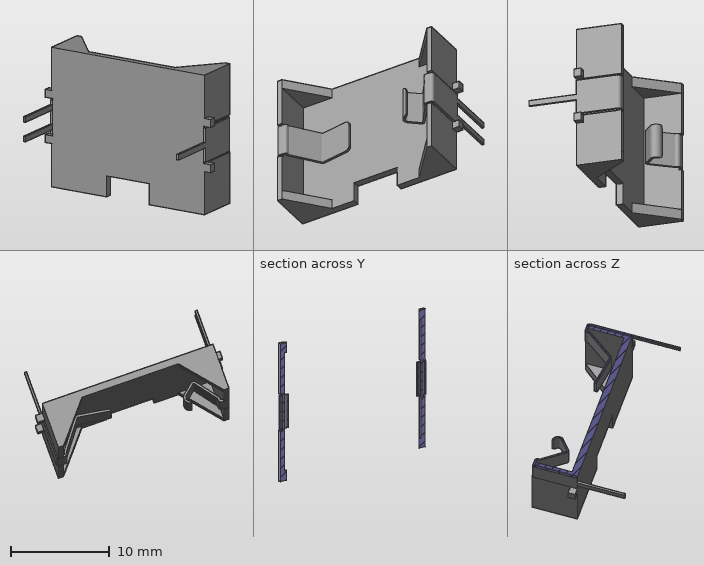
import cadquery as cq
import math

HOUSING_WIDTH = 18.3
HOUSING_HEIGHT = 14.74
WALL_TOP = 4.83
PLATE_THICKNESS = 0.75
WALL_THICKNESS = 0.55
GUSSET_THICKNESS = 1.07
GUSSET_FOOT_X = 5.17

SLOT_WIDTH = 5.11
SLOT_HEIGHT = 2.22

OVERALL_WIDTH = 19.81
LUG_DEPTH = 0.75
LUG_HEIGHT = 0.83
SEAT_HEIGHT = 3.95
SEAT_CHAMFER = 0.2

SHEET = 0.24
CONTACT_OUTER_X = 9.27
CONTACT_INNER_X = 8.1
CONTACT_TOP = 4.8
CONTACT_WIDTH = 3.57
BEND_RADIUS = 0.22
LEG_BEND_Y = 4.3
LEG_ANGLE = 53.0
PIN_LENGTH = 5.07
PIN_WIDTH = 0.57
PIN_PITCH = 2.06

HOOK_ANGLE = 40.0
HOOK_CENTER_X = 5.5
HOOK_TIP_X = 5.53
HOOK_CENTER_Y = 3.23
HOOK_RADIUS = 0.52
HOOK_TIP_ROUNDING = 0.38

STRAIGHT_ANGLE = 8.6
STRAIGHT_TIP = (-2.42, 1.8)
STRAIGHT_TIP_ROUNDING = 0.52

SEAT_FACE_X = CONTACT_OUTER_X - SHEET
SEAT_TOP = CONTACT_TOP - SHEET

WALL_OUTER_X = -HOUSING_WIDTH / 2
WALL_INNER_X = WALL_OUTER_X + WALL_THICKNESS
HALF_HEIGHT = HOUSING_HEIGHT / 2

POINT_TOLERANCE = 0.002


def box(x_range, y_range, z_range):
    """Box between the given limits along each axis."""
    corners = list(zip(x_range, y_range, z_range))
    size = [end - start for start, end in zip(*corners)]
    return cq.Workplane("XY").box(*size, centered=False).translate(corners[0])


def mirrored_in_x(body):
    """Copy of a left-hand shape on the right-hand side."""
    return body.mirror("YZ")


def left_gusset():
    """Sloped web that braces the left wall at the top edge of the housing."""
    return (
        cq.Workplane("XY", origin=(0, 0, HALF_HEIGHT - GUSSET_THICKNESS))
        .polyline([(WALL_OUTER_X, 0), (-GUSSET_FOOT_X, 0), (-GUSSET_FOOT_X, PLATE_THICKNESS),
                   (WALL_INNER_X, WALL_TOP), (WALL_OUTER_X, WALL_TOP)])
        .close()
        .extrude(GUSSET_THICKNESS)
    )


def left_wall():
    """Left wall with its two gussets and two lugs."""
    wall = box((WALL_OUTER_X, WALL_INNER_X), (0, WALL_TOP), (-HALF_HEIGHT, HALF_HEIGHT))
    lug = box((-OVERALL_WIDTH / 2, WALL_INNER_X), (0, LUG_DEPTH),
              (SEAT_HEIGHT / 2, SEAT_HEIGHT / 2 + LUG_HEIGHT))
    for feature in (left_gusset(), lug):
        wall = wall.union(feature).union(feature.mirror("XY"))
    return wall


def left_seat():
    """Material removed from the left wall: a shallow side recess and a lowered, chamfered top edge."""
    outside = -OVERALL_WIDTH / 2
    return (
        cq.Workplane("XY")
        .moveTo(outside, 0)
        .lineTo(-SEAT_FACE_X, 0)
        .lineTo(-SEAT_FACE_X, SEAT_TOP - SEAT_CHAMFER)
        .lineTo(-SEAT_FACE_X + SEAT_CHAMFER, SEAT_TOP)
        .lineTo(WALL_INNER_X, SEAT_TOP)
        .lineTo(WALL_INNER_X, WALL_TOP)
        .lineTo(outside, WALL_TOP)
        .close()
        .extrude(SEAT_HEIGHT / 2, both=True)
    )


def make_housing():
    """Plate with its bottom slot and both walls, each with a seat for a contact."""
    plate = box((WALL_OUTER_X, -WALL_OUTER_X), (0, PLATE_THICKNESS), (-HALF_HEIGHT, HALF_HEIGHT))
    slot = box((-SLOT_WIDTH / 2, SLOT_WIDTH / 2), (0, PLATE_THICKNESS),
               (-HALF_HEIGHT, -HALF_HEIGHT + SLOT_HEIGHT))
    wall = left_wall()
    seat = left_seat()
    housing = plate.union(wall).union(mirrored_in_x(wall))
    return housing.cut(slot).cut(seat).cut(mirrored_in_x(seat))


def bent_strip(corners, radii):
    """Sheet strip along the mid-line through the corners, with one mid-line radius per bend."""
    mid_line = cq.Wire.makePolygon([cq.Vector(x, y) for x, y in corners])
    for corner, radius in zip(corners[1:], radii):
        bend = [v for v in mid_line.Vertices() if math.dist(v.toTuple()[:2], corner) < POINT_TOLERANCE]
        mid_line = mid_line.fillet(radius, bend)
    start_x, start_y = corners[0]
    section = cq.Workplane("XZ", origin=(start_x, start_y, 0)).rect(SHEET, CONTACT_WIDTH)
    return section.sweep(cq.Workplane(mid_line))


def crossing(first, first_angle, second, second_angle):
    """Point where two lines meet, each given by a point and an angle in degrees."""
    a = math.radians(first_angle)
    b = math.radians(second_angle)
    dx = second[0] - first[0]
    dy = second[1] - first[1]
    distance = (dx * math.sin(b) - dy * math.cos(b)) / math.sin(b - a)
    return (first[0] + distance * math.cos(a), first[1] + distance * math.sin(a))


def tip_corner_cutter(tip, inward, rounding):
    """Material outside the two rounded corners of an arm tip.

    inward is the X sign from the tip back to the arm.
    """
    tip_x, tip_y = tip
    round_x = tip_x + inward * rounding
    round_z = CONTACT_WIDTH / 2 - rounding
    y_range = (tip_y - 2 * SHEET, tip_y + 2 * SHEET)
    x_range = sorted((round_x, tip_x - inward * SHEET))
    corner = box(x_range, y_range, (round_z, CONTACT_WIDTH / 2))
    kept = (
        cq.Workplane("XZ", origin=(round_x, y_range[1], round_z))
        .circle(rounding)
        .extrude(y_range[1] - y_range[0])
    )
    upper = corner.cut(kept)
    return upper.union(upper.mirror("XY"))


def left_contact(arm_point, arm_angle, arm_end, arm_radii, inward, tip_rounding, pin_heights):
    """Contact on the left wall: side plate with pins, bridge over the wall, slanted leg and spring arm.

    The arm rises towards +X through arm_point. arm_end lists its further mid-line corners and its tip,
    arm_radii the bend radii at those corners, and inward is the X sign from the tip back to the arm.
    """
    plate_x = -CONTACT_OUTER_X + SHEET / 2
    leg_x = -CONTACT_INNER_X - SHEET / 2
    bridge_y = CONTACT_TOP - SHEET / 2
    leg_bend = (leg_x, LEG_BEND_Y)
    arm_foot = crossing(leg_bend, -LEG_ANGLE, arm_point, arm_angle)
    wall_bends = [(plate_x, bridge_y), (leg_x, bridge_y), leg_bend, arm_foot]
    radii = [BEND_RADIUS] * len(wall_bends) + arm_radii
    strip = bent_strip([(plate_x, 0)] + wall_bends + arm_end, radii)
    contact = strip.cut(tip_corner_cutter(arm_end[-1], inward, tip_rounding))
    for z in pin_heights:
        contact = contact.union(box((-CONTACT_OUTER_X, -SEAT_FACE_X), (-PIN_LENGTH, 0),
                                    (z - PIN_WIDTH / 2, z + PIN_WIDTH / 2)))
    return contact


def make_hooked_contact():
    """Left contact: two pins and an arm that curls back at its tip."""
    angle = math.radians(HOOK_ANGLE)
    arm_point = (-HOOK_CENTER_X + HOOK_RADIUS * math.sin(angle),
                 HOOK_CENTER_Y - HOOK_RADIUS * math.cos(angle))
    tip = (-HOOK_TIP_X, HOOK_CENTER_Y + HOOK_RADIUS)
    hook_corner = crossing(arm_point, HOOK_ANGLE, tip, 0)
    return left_contact(arm_point, HOOK_ANGLE, [hook_corner, tip], [HOOK_RADIUS], 1, HOOK_TIP_ROUNDING,
                        [-PIN_PITCH / 2, PIN_PITCH / 2])


def make_straight_contact():
    """Right contact: one central pin and a straight arm."""
    contact = left_contact(STRAIGHT_TIP, STRAIGHT_ANGLE, [STRAIGHT_TIP], [], -1, STRAIGHT_TIP_ROUNDING, [0])
    return mirrored_in_x(contact)


housing = make_housing()
hooked_contact = make_hooked_contact()
straight_contact = make_straight_contact()

result = cq.Compound.makeCompound([housing.val(), hooked_contact.val(), straight_contact.val()])